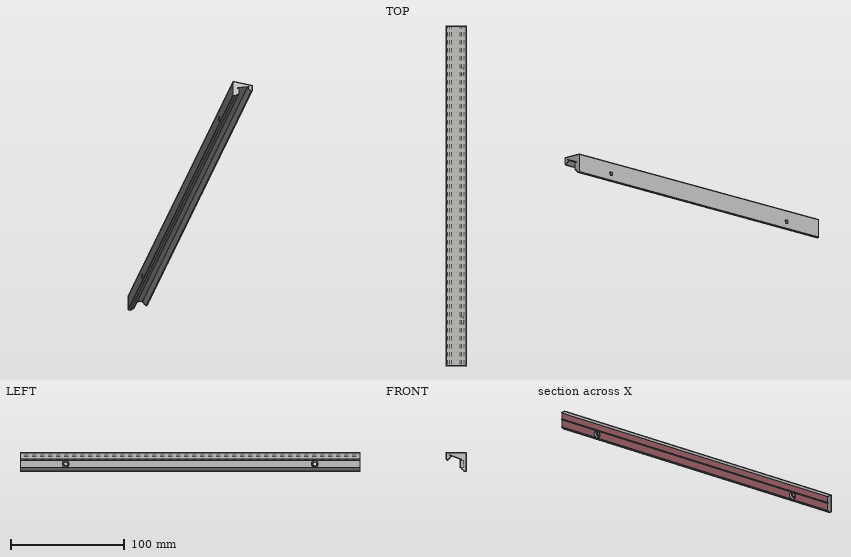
import cadquery as cq
import math

width = 17.98
height = 16.5
length = 300.0

outer_bevel = 0.3

leg_thickness = 5.5
foot_bevel = 3.5
leg_inner_x = width - leg_thickness
leg_inner_top = 9.95

underside_angle = 21.4
groove_end_wall = 0.2
lip_groove_end_x = 3.15
leg_groove_end_x = 13.65
lip_groove_end_z = 14.35

lip_outer_bottom = 10.9
lip_tip_x = 1.2
lip_tip_z = 9.475
lip_inner_top_x = 4.75
lip_inner_top_z = 13.1

hole_diameter = 3.3
counterbore_diameter = 6.0
counterbore_depth = 3.0
hole_spacing = 220.0
hole_z = 6.45


def make_profile_bar():
    """Constant cross-section, extruded along Y and centred on the XZ plane."""
    underside_drop = (leg_groove_end_x - lip_groove_end_x) * math.tan(math.radians(underside_angle))
    leg_groove_end_z = lip_groove_end_z - underside_drop
    outline = [
        (0, height),
        (width - outer_bevel, height),
        (width, height - outer_bevel),
        (width, outer_bevel),
        (width - outer_bevel, 0),
        (leg_inner_x + foot_bevel, 0),
        (leg_inner_x, foot_bevel),
        (leg_inner_x, leg_inner_top),
        (leg_groove_end_x, leg_groove_end_z - groove_end_wall),
        (leg_groove_end_x, leg_groove_end_z),
        (lip_groove_end_x, lip_groove_end_z),
        (lip_groove_end_x, lip_groove_end_z - groove_end_wall),
        (lip_inner_top_x, lip_inner_top_z),
        (lip_tip_x, lip_tip_z),
        (0, lip_outer_bottom),
    ]
    return cq.Workplane("XZ").polyline(outline).close().extrude(length / 2, both=True)


def make_screw_hole(y):
    """Cutter for one hole along X, with its counterbore open to the inner face of the leg."""
    inner_face = cq.Workplane("YZ", origin=(leg_inner_x, y, hole_z))
    hole = inner_face.circle(hole_diameter / 2).extrude(leg_thickness)
    counterbore = inner_face.circle(counterbore_diameter / 2).extrude(counterbore_depth)
    return hole.union(counterbore)


result = make_profile_bar()
for side in (-1, 1):
    result = result.cut(make_screw_hole(side * hole_spacing / 2))